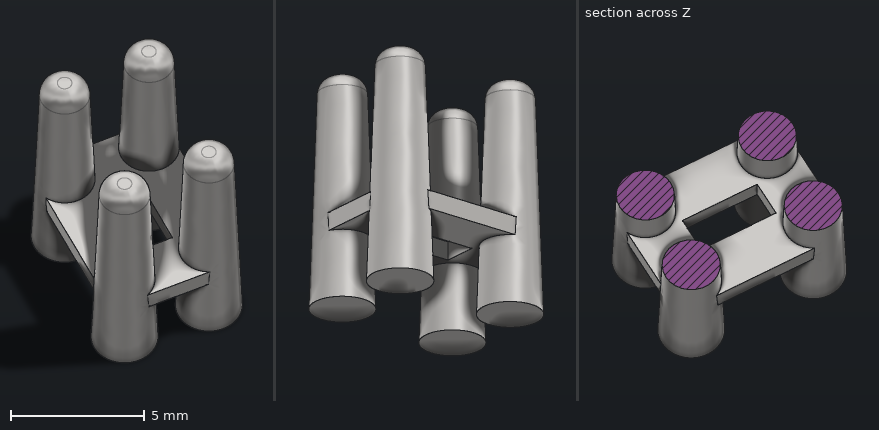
import cadquery as cq
import math

length = 7.78
width = 6.03
height = 9.4

leg_diameter = 2.53
leg_draft = 2.0
tip_radius = 0.69
leg_spacing_x = length - leg_diameter
leg_spacing_y = width - leg_diameter

plate_length = 7.35
plate_width = 5.54
plate_bottom = 2.76
plate_thickness = 0.74
window_length = 3.215
window_width = 1.44


def make_leg():
    """Cone on the origin, with its top edge rounded."""
    base_radius = leg_diameter / 2
    top_radius = base_radius - height * math.tan(math.radians(leg_draft))
    cone = cq.Solid.makeCone(base_radius, top_radius, height)
    return cq.Workplane(cone).faces(">Z").edges().fillet(tip_radius)


def make_slab(size_x, size_y):
    """Centred rectangular slab at the height of the plate."""
    return (
        cq.Workplane("XY")
        .workplane(offset=plate_bottom)
        .rect(size_x, size_y)
        .extrude(plate_thickness)
    )


def make_plate():
    """Cross-shaped plate whose notched corners are filled by the legs."""
    along_x = make_slab(plate_length, leg_spacing_y)
    along_y = make_slab(leg_spacing_x, plate_width)
    return along_x.union(along_y).cut(make_slab(window_length, window_width))


result = make_plate()
leg = make_leg()
for side_x in (-1, 1):
    for side_y in (-1, 1):
        position = (side_x * leg_spacing_x / 2, side_y * leg_spacing_y / 2, 0)
        result = result.union(leg.translate(position))